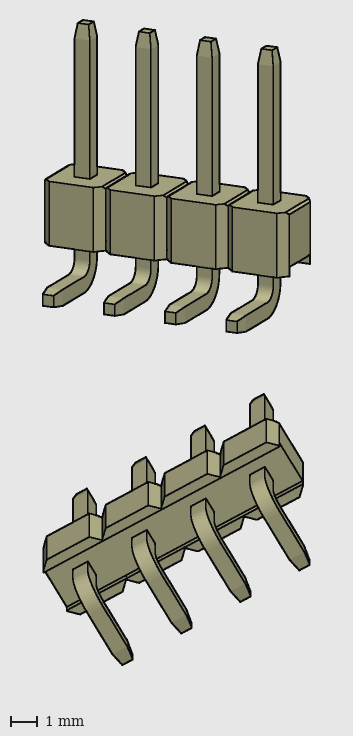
import cadquery as cq


pin_count = 4
pitch = 2.54

housing_depth = 2.52
housing_height = 2.52
housing_bottom = 1.81
corner_chamfer = 0.35
bevel_size = 0.1
channel_width = 1.73
channel_height = 0.36

pin_size = 0.64
tip_size = 0.45
tip_length = 0.59
bend_inner_radius = 0.5
pin_top = 10.32
tail_reach = 3.24

housing_top = housing_bottom + housing_height
row_length = pin_count * pitch
bend_outer_radius = bend_inner_radius + pin_size
pin_positions = [(i - (pin_count - 1) / 2) * pitch for i in range(pin_count)]


def make_cell():
    """One housing cell: vertical corners and top side edges cut at 45 degrees."""
    block = (
        cq.Workplane("XY", origin=(0, 0, housing_bottom))
        .rect(pitch, housing_depth)
        .extrude(housing_height)
        .edges("|Z")
        .chamfer(corner_chamfer)
    )
    half_width = pitch / 2
    bevel_base = housing_top - bevel_size
    bevelled_profile = (
        cq.Workplane("XZ")
        .moveTo(-half_width, housing_bottom)
        .lineTo(half_width, housing_bottom)
        .lineTo(half_width, bevel_base)
        .lineTo(half_width - bevel_size, housing_top)
        .lineTo(-half_width + bevel_size, housing_top)
        .lineTo(-half_width, bevel_base)
        .close()
        .extrude(housing_depth / 2, both=True)
    )
    return block.intersect(bevelled_profile)


def make_channel():
    """Cutter for the channel that runs the full length of the housing underside."""
    return (
        cq.Workplane("XY", origin=(0, 0, housing_bottom))
        .rect(row_length, channel_width)
        .extrude(channel_height)
    )


def make_tip(base_plane):
    """Tapered pin end growing from the base plane along its normal."""
    return (
        cq.Workplane(base_plane)
        .rect(pin_size, pin_size)
        .workplane(offset=tip_length)
        .rect(tip_size, tip_size)
        .loft(ruled=True)
    )


def make_pin():
    """Square pin: upright post, quarter-circle bend and tail toward -Y, tapered at both ends."""
    post_end = pin_top - tip_length
    tail_end = -tail_reach + tip_length
    bend_radius = bend_inner_radius + pin_size / 2
    tail_axis = pin_size / 2
    path = (
        cq.Workplane("YZ")
        .moveTo(0, post_end)
        .lineTo(0, bend_outer_radius)
        .radiusArc((-bend_radius, tail_axis), bend_radius)
        .lineTo(tail_end, tail_axis)
    )
    shaft = cq.Workplane("XY", origin=(0, 0, post_end)).rect(pin_size, pin_size).sweep(path)
    top_tip = make_tip(cq.Plane(origin=(0, 0, post_end), xDir=(1, 0, 0), normal=(0, 0, 1)))
    tail_tip = make_tip(cq.Plane(origin=(0, tail_end, tail_axis), xDir=(1, 0, 0), normal=(0, -1, 0)))
    return shaft.union(top_tip).union(tail_tip)


cell = make_cell()
pin = make_pin()

housing = cq.Workplane("XY")
for x in pin_positions:
    housing = housing.union(cell.translate((x, 0, 0)))
housing = housing.cut(make_channel())

result = housing
for x in pin_positions:
    result = result.union(pin.translate((x, 0, 0)))